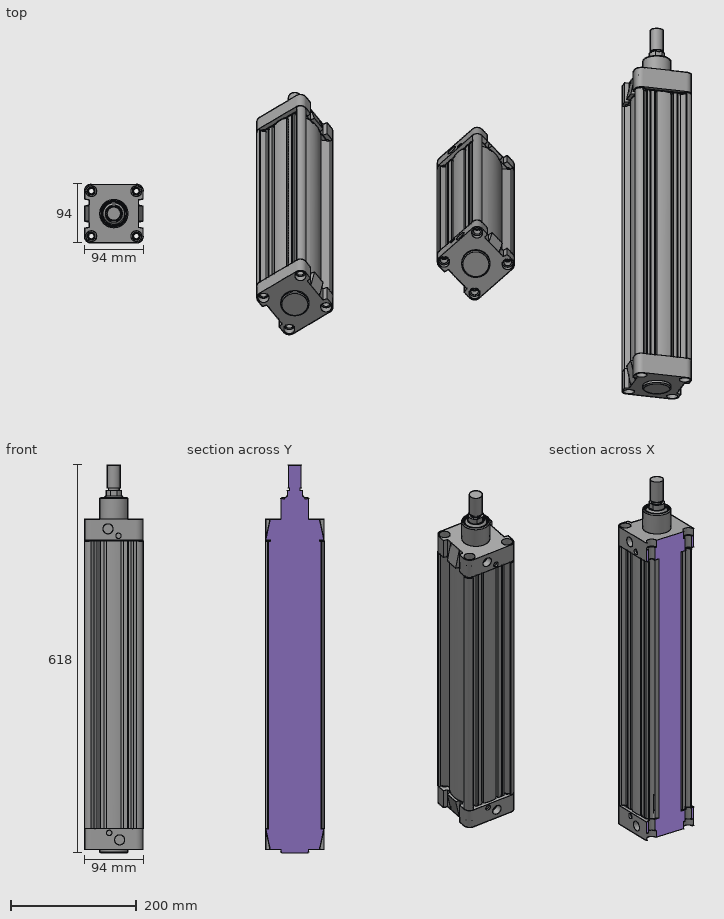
import cadquery as cq
import math

TOTAL_LENGTH = 618.0
TUBE_WIDTH = 94.0
TUBE_HALF = TUBE_WIDTH / 2
HEAD_WIDTH = 93.5
HEAD_HALF = HEAD_WIDTH / 2
CORNER_RADIUS = 10.8

HEAD_LENGTH = 33.5
SPIGOT_LENGTH = 5.5
FRONT_FACE_Z = 532.0
BUSHING_TOP_Z = 567.0
REAR_HEAD_TOP_Z = SPIGOT_LENGTH + HEAD_LENGTH
FRONT_HEAD_BASE_Z = FRONT_FACE_Z - HEAD_LENGTH
GASKET_THICKNESS = 2.0
TUBE_TOP_Z = FRONT_HEAD_BASE_Z - GASKET_THICKNESS

BARREL_RADIUS = 42.0
FLANK_INNER = 26.5
FLANK_TOP = 43.0
RIB_TOP = 41.0
RIB_INNER = 15.5
RIB_OUTER = 21.5
LIP_INNER = 23.5
LIP_OUTER = 27.0
GROOVE_INNER = 12.0
GROOVE_FLOOR = 34.0

HOLE_OFFSET = 36.0
HOLE_RADIUS = 4.5
THREAD_HOLE_RADIUS = 6.0
COUNTERBORE_RADIUS = 8.5
COUNTERBORE_DEPTH = 12.5

NOTCH_FLOOR = 39.5
NOTCH_FLOOR_HALF = 21.5
NOTCH_MOUTH_HALF = 23.2
RAMP_TOP_HALF = 12.05
RAMP_BASE_HALF = 14.5
RAMP_ROOT = 3.0

PORT_RADIUS = 8.0
PORT_X = 9.0
PORT_SETBACK = 15.5
PORT_DEPTH = 12.5
SCREW_RADIUS = 4.5
SCREW_X = 7.5
SCREW_SETBACK = 26.5
SCREW_DEPTH = 4.0

BUSHING_RADIUS = 22.55
EDGE_CHAMFER = 2.0
SEAT_RADIUS = 19.0
SEAT_DEPTH = 2.5
WIPER_BASE_RADIUS = 17.0
WIPER_TOP_RADIUS = 13.5
WIPER_RISE = 2.0

ROD_RADIUS = 12.5
FLAT_HALF = 11.0
ROD_TOP_Z = 578.0
UNDERCUT_RADIUS = 8.5
THREAD_BASE_Z = 581.5
THREAD_RADIUS = 10.5


def cylinder(radius, z_low, z_high):
    return cq.Workplane("XY").workplane(offset=z_low).circle(radius).extrude(z_high - z_low)


def square_block(width, z_low, z_high):
    height = z_high - z_low
    block = cq.Workplane("XY").box(width, width, height, centered=(True, True, False))
    return block.edges("|Z").fillet(CORNER_RADIUS).translate((0, 0, z_low))


def both_sides(solid):
    """Join a solid with its copy turned half a turn about the axis."""
    return solid.union(solid.rotate((0, 0, 0), (0, 0, 1), 180))


def mirrored_bars(x_inner, x_outer, y_inner, y_outer):
    """Tube-length bars of one rectangular section, mirrored to all four quadrants."""
    bar = cq.Workplane("XY").box(
        x_outer - x_inner, y_outer - y_inner, TUBE_TOP_Z - REAR_HEAD_TOP_Z, centered=False
    )
    bar = bar.translate((x_inner, y_inner, REAR_HEAD_TOP_Z))
    pair = bar.union(bar.mirror("YZ"))
    return pair.union(pair.mirror("XZ"))


def make_tube():
    """Round barrel with four corner posts and slotted ribs on the front and back."""
    z_low = REAR_HEAD_TOP_Z
    length = TUBE_TOP_Z - z_low
    post_edge = TUBE_HALF - CORNER_RADIUS
    barrel_edge = math.sqrt(BARREL_RADIUS**2 - FLANK_INNER**2)
    plane = cq.Workplane("XY").workplane(offset=z_low)
    recess = (
        plane.moveTo(TUBE_HALF, -post_edge)
        .lineTo(FLANK_TOP, -post_edge)
        .lineTo(barrel_edge, -FLANK_INNER)
        .threePointArc((BARREL_RADIUS, 0), (barrel_edge, FLANK_INNER))
        .lineTo(FLANK_TOP, post_edge)
        .lineTo(TUBE_HALF, post_edge)
        .close()
        .extrude(length)
    )
    tube = square_block(TUBE_WIDTH, z_low, TUBE_TOP_Z)
    for turn in range(4):
        tube = tube.cut(recess.rotate((0, 0, 0), (0, 0, 1), 90 * turn))
    groove = mirrored_bars(GROOVE_INNER, RIB_INNER, GROOVE_FLOOR, TUBE_HALF)
    rib = mirrored_bars(RIB_INNER, RIB_OUTER, 0, RIB_TOP)
    lip = mirrored_bars(LIP_INNER, LIP_OUTER, 0, RIB_TOP)
    return tube.cut(groove).union(rib).union(lip)


def make_notch():
    """Flared channel along Z in the +X side of a head."""
    return (
        cq.Workplane("XY")
        .moveTo(NOTCH_FLOOR, -NOTCH_FLOOR_HALF)
        .lineTo(HEAD_HALF, -NOTCH_MOUTH_HALF)
        .lineTo(HEAD_HALF, NOTCH_MOUTH_HALF)
        .lineTo(NOTCH_FLOOR, NOTCH_FLOOR_HALF)
        .close()
        .extrude(HEAD_LENGTH)
    )


def make_ramp():
    """Ramp level with the notch floor at z = 0 and with the head side at the tube end."""
    root = NOTCH_FLOOR - RAMP_ROOT
    return (
        cq.Workplane("XY")
        .polyline([
            (root, -RAMP_TOP_HALF),
            (NOTCH_FLOOR, -RAMP_TOP_HALF),
            (NOTCH_FLOOR, RAMP_TOP_HALF),
            (root, RAMP_TOP_HALF),
        ])
        .close()
        .workplane(offset=HEAD_LENGTH)
        .polyline([
            (root, -RAMP_BASE_HALF),
            (HEAD_HALF, -RAMP_TOP_HALF),
            (HEAD_HALF, RAMP_TOP_HALF),
            (root, RAMP_BASE_HALF),
        ])
        .close()
        .loft(ruled=True, combine=True)
    )


def front_hole(radius, x, setback, depth):
    """Blind round hole into the -Y side, set back from z = 0."""
    plane = cq.Workplane("XZ", origin=(x, -HEAD_HALF, setback))
    return plane.circle(radius).extrude(-depth)


def make_head():
    """Rear head with its outer face at z = 0 and the tube end above it."""
    head = square_block(HEAD_WIDTH, 0, HEAD_LENGTH)
    head = head.cut(both_sides(make_notch())).union(both_sides(make_ramp()))
    port = front_hole(PORT_RADIUS, PORT_X, PORT_SETBACK, PORT_DEPTH)
    screw_recess = front_hole(SCREW_RADIUS, -SCREW_X, SCREW_SETBACK, SCREW_DEPTH)
    return head.cut(port).cut(screw_recess)


def make_bushing():
    bushing = cylinder(BUSHING_RADIUS, FRONT_FACE_Z, BUSHING_TOP_Z)
    bushing = bushing.faces(">Z").edges().chamfer(EDGE_CHAMFER)
    seat_z = BUSHING_TOP_Z - SEAT_DEPTH
    bushing = bushing.cut(cylinder(SEAT_RADIUS, seat_z, BUSHING_TOP_Z))
    wiper = cq.Workplane("XY").add(cq.Solid.makeCone(
        WIPER_BASE_RADIUS, WIPER_TOP_RADIUS, SEAT_DEPTH + WIPER_RISE, cq.Vector(0, 0, seat_z)
    ))
    return bushing.union(wiper)


def make_rod():
    flats = cq.Workplane("XY").box(2 * ROD_RADIUS, 2 * FLAT_HALF, TOTAL_LENGTH, centered=(True, True, False))
    rod = cylinder(ROD_RADIUS, FRONT_FACE_Z, ROD_TOP_Z).intersect(flats)
    undercut = cylinder(UNDERCUT_RADIUS, ROD_TOP_Z, THREAD_BASE_Z)
    thread = cylinder(THREAD_RADIUS, THREAD_BASE_Z, TOTAL_LENGTH)
    return rod.union(undercut).union(thread)


def make_tie_rod_holes():
    """Corner holes through the whole body, counterbored in both outer faces."""
    corners = cq.Workplane("XY").rect(2 * HOLE_OFFSET, 2 * HOLE_OFFSET, forConstruction=True).vertices()
    holes = corners.circle(HOLE_RADIUS).extrude(FRONT_FACE_Z)
    threads = corners.circle(THREAD_HOLE_RADIUS).extrude(HEAD_LENGTH)
    counterbores = corners.circle(COUNTERBORE_RADIUS).extrude(COUNTERBORE_DEPTH)
    for base_z in (SPIGOT_LENGTH, FRONT_HEAD_BASE_Z):
        holes = holes.union(threads.translate((0, 0, base_z)))
    for base_z in (SPIGOT_LENGTH, FRONT_FACE_Z - COUNTERBORE_DEPTH):
        holes = holes.union(counterbores.translate((0, 0, base_z)))
    return holes


head = make_head()
rear_head = head.translate((0, 0, SPIGOT_LENGTH))
front_head = head.rotate((0, 0, 0), (0, 1, 0), 180).translate((0, 0, FRONT_FACE_Z))
spigot = cylinder(BUSHING_RADIUS, 0, SPIGOT_LENGTH).faces("<Z").edges().chamfer(EDGE_CHAMFER)

gasket = square_block(2 * NOTCH_FLOOR, TUBE_TOP_Z, FRONT_HEAD_BASE_Z)

body = make_tube().union(rear_head).union(gasket).union(front_head).cut(make_tie_rod_holes())
result = body.union(spigot).union(make_bushing()).union(make_rod())